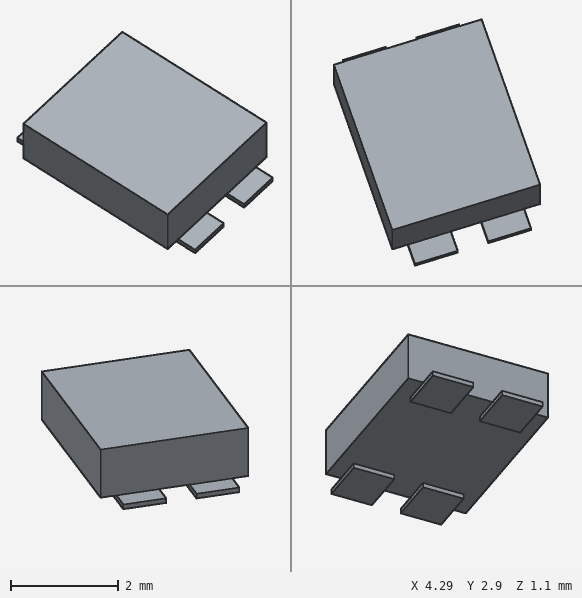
import cadquery as cq

overall_length = 4.29
overall_height = 1.1

housing_length = 3.48
housing_width = 2.9

terminal_length = 0.95
terminal_width = 0.84
terminal_thickness = 0.1
terminal_pitch = 1.437

housing_height = overall_height - terminal_thickness
terminal_offset_x = (overall_length - terminal_length) / 2
terminal_offset_y = terminal_pitch / 2


def make_housing():
    """Plain block resting on top of the terminals."""
    return (
        cq.Workplane("XY")
        .workplane(offset=terminal_thickness)
        .rect(housing_length, housing_width)
        .extrude(housing_height)
    )


def make_terminal(center_x, center_y):
    """Flat plate with its underside at Z = 0."""
    return (
        cq.Workplane("XY")
        .center(center_x, center_y)
        .rect(terminal_length, terminal_width)
        .extrude(terminal_thickness)
    )


housing = make_housing()
terminals = [
    make_terminal(side_x * terminal_offset_x, side_y * terminal_offset_y)
    for side_x in (-1, 1)
    for side_y in (-1, 1)
]

result = cq.Compound.makeCompound(
    [housing.val(), *[terminal.val() for terminal in terminals]]
)